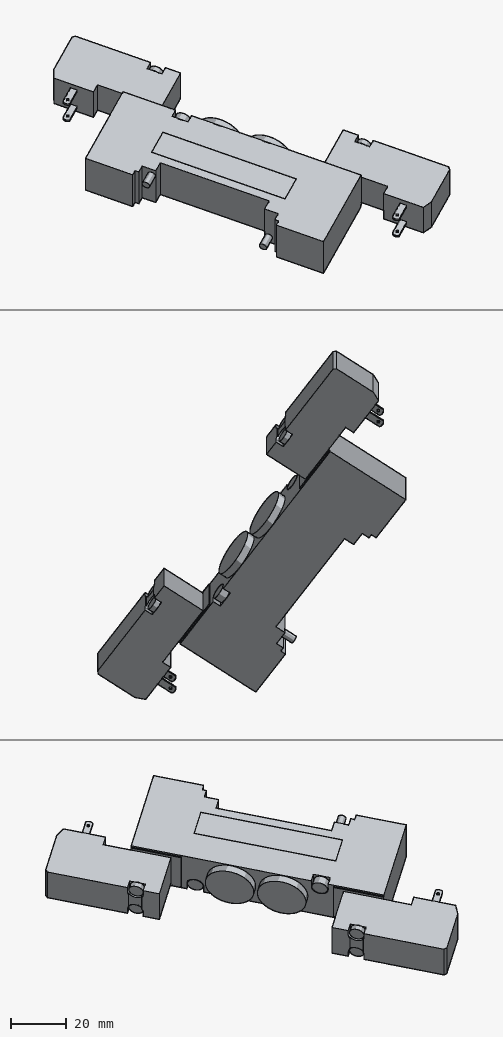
import cadquery as cq
import math


total_length = 148.2
total_depth = 50.7
back_y = total_depth / 2
front_y = -total_depth / 2

housing_length = 93.4
housing_height = 18.5
housing_depth = 33.2
housing_back_y = front_y + housing_depth

foot_inner_x = 28.2
ledge_inner_x = 26.7
shoulder_inner_x = 21.3
ledge_y = front_y + 2.1
shoulder_y = front_y + 5.0
arch_y = front_y + 9.0

pad_thickness = 0.5
pad_height = 17.0
pad_back_y = housing_back_y + pad_thickness

label_length = 52.3
label_width = 10.0
label_center_y = -8.2
label_depth = 0.1

housing_screw_x = 23.0
housing_screw_z = 6.1
housing_screw_head_diameter = 5.8
housing_slot_width = 6.2
housing_screw_head_height = 3.1
housing_screw_shank_diameter = 3.0

collar_diameter = 18.0
collar_height = 2.8
collar_x = 9.6

coil_height = 14.8
coil_inner_x = 31.9
coil_outer_x = total_length / 2
coil_foot_inner_x = 56.9
coil_foot_y = 4.7
coil_back_chamfer = 0.9
coil_front_chamfer_x = 1.6
coil_front_chamfer_y = 3.5

coil_screw_x = 40.8
coil_screw_head_diameter = 5.3
coil_screw_protrusion = 0.3
coil_screw_sink = 1.0
coil_slot_width = 5.8
coil_slot_depth = 3.1
coil_screw_z = coil_height / 2 + coil_screw_protrusion - coil_screw_head_diameter / 2

coil_groove_x = 40.9
coil_groove_width = 4.9
coil_groove_depth = 0.5

terminal_x = 64.6
terminal_z = 4.7
terminal_width = 2.7
terminal_thickness = 0.9
terminal_tip_diameter = 3.9
terminal_hole_diameter = 1.0
terminal_hole_y = -0.6


def cylinder_along_y(diameter, x, z, y_start, y_end):
    """Cylinder parallel to Y between two Y positions."""
    axis_start = cq.Vector(x, y_start, z)
    return cq.Workplane(
        cq.Solid.makeCylinder(diameter / 2, y_end - y_start, axis_start, cq.Vector(0, 1, 0))
    )


def block(x_range, y_range, z_range):
    """Box between two limits on each axis."""
    corner = cq.Vector(x_range[0], y_range[0], z_range[0])
    return cq.Workplane(
        cq.Solid.makeBox(
            x_range[1] - x_range[0], y_range[1] - y_range[0], z_range[1] - z_range[0], corner
        )
    )


def screw_slot(width, x, z, y_start, y_end, open_z):
    """Round-bottomed slot that runs from a screw axis out through the face at open_z."""
    round_bottom = cylinder_along_y(width, x, z, y_start, y_end)
    opening = block(
        (x - width / 2, x + width / 2), (y_start, y_end), (min(z, open_z), max(z, open_z))
    )
    return round_bottom.union(opening)


def housing_profile():
    """Housing block with a stepped arch between its two feet, extruded along Z."""
    half_length = housing_length / 2
    right_half = [
        (half_length, housing_back_y),
        (half_length, front_y),
        (foot_inner_x, front_y),
        (foot_inner_x, ledge_y),
        (ledge_inner_x, ledge_y),
        (ledge_inner_x, shoulder_y),
        (shoulder_inner_x, shoulder_y),
        (shoulder_inner_x, arch_y),
    ]
    left_half = [(-x, y) for x, y in reversed(right_half)]
    return (
        cq.Workplane("XY")
        .polyline(right_half + left_half)
        .close()
        .extrude(housing_height / 2, both=True)
    )


def add_coil_pads(body):
    """Thin raised pads on the back face that the coil blocks rest on."""
    half_height = pad_height / 2
    for x_range in ((-housing_length / 2, -foot_inner_x), (foot_inner_x, housing_length / 2)):
        body = body.union(
            block(x_range, (housing_back_y, pad_back_y), (-half_height, half_height))
        )
    return body


def add_housing_screw(body, side):
    """Mounting screw: head in an open slot at the back, shank end at the front."""
    x = side * housing_screw_x
    z = -side * housing_screw_z
    open_z = -side * housing_height / 2
    seat_y = housing_back_y - housing_screw_head_height
    slot = screw_slot(housing_slot_width, x, z, seat_y, housing_back_y, open_z)
    head = cylinder_along_y(housing_screw_head_diameter, x, z, seat_y, housing_back_y)
    shank = cylinder_along_y(housing_screw_shank_diameter, x, z, front_y, shoulder_y)
    return body.cut(slot).union(head).union(shank)


def make_housing():
    body = add_coil_pads(housing_profile())
    for side in (-1, 1):
        body = add_housing_screw(body, side)
    label = (
        cq.Workplane("XY", origin=(0, label_center_y, housing_height / 2))
        .rect(label_length, label_width)
        .extrude(-label_depth)
    )
    return body.cut(label)


def make_collar(side):
    """Round port collar standing on the back face of the housing."""
    collar_back_y = housing_back_y + collar_height
    return cylinder_along_y(collar_diameter, side * collar_x, 0, housing_back_y, collar_back_y)


def coil_profile():
    """Right-hand coil block with a foot at its outer end, extruded along Z."""
    outline = [
        (coil_inner_x, back_y),
        (coil_outer_x - coil_back_chamfer, back_y),
        (coil_outer_x, back_y - coil_back_chamfer),
        (coil_outer_x, coil_foot_y + coil_front_chamfer_y),
        (coil_outer_x - coil_front_chamfer_x, coil_foot_y),
        (coil_foot_inner_x, coil_foot_y),
        (coil_foot_inner_x, pad_back_y),
        (coil_inner_x, pad_back_y),
    ]
    return cq.Workplane("XY").polyline(outline).close().extrude(coil_height / 2, both=True)


def cut_coil_groove(body):
    """Shallow groove down the back face, from the top to the bottom."""
    half_width = coil_groove_width / 2
    half_height = coil_height / 2
    groove = block(
        (coil_groove_x - half_width, coil_groove_x + half_width),
        (back_y - coil_groove_depth, back_y),
        (-half_height, half_height),
    )
    return body.cut(groove)


def add_coil_screw(body, level):
    """Screw head sunk in a back-face slot that opens at the top (+1) or bottom (-1)."""
    z = level * coil_screw_z
    seat_y = back_y - coil_slot_depth
    open_z = level * coil_height / 2
    slot = screw_slot(coil_slot_width, coil_screw_x, z, seat_y, back_y, open_z)
    head_back_y = back_y - coil_screw_sink
    head = cylinder_along_y(coil_screw_head_diameter, coil_screw_x, z, seat_y, head_back_y)
    return body.cut(slot).union(head)


def add_terminal(body, level):
    """Flat terminal blade, drilled near its tip, with the tip arc centred on the hole."""
    half_width = terminal_width / 2
    tip_radius = terminal_tip_diameter / 2
    tip_y = terminal_hole_y - tip_radius
    tip_start_y = terminal_hole_y - math.sqrt(tip_radius**2 - half_width**2)
    blade = (
        cq.Workplane("XY", origin=(0, 0, level * terminal_z))
        .moveTo(terminal_x - half_width, coil_foot_y)
        .lineTo(terminal_x - half_width, tip_start_y)
        .threePointArc((terminal_x, tip_y), (terminal_x + half_width, tip_start_y))
        .lineTo(terminal_x + half_width, coil_foot_y)
        .close()
        .moveTo(terminal_x, terminal_hole_y)
        .circle(terminal_hole_diameter / 2)
        .extrude(terminal_thickness / 2, both=True)
    )
    return body.union(blade)


def make_right_coil():
    body = cut_coil_groove(coil_profile())
    for level in (-1, 1):
        body = add_coil_screw(body, level)
        body = add_terminal(body, level)
    return body


housing = make_housing()
collars = [make_collar(side) for side in (-1, 1)]
right_coil = make_right_coil()
left_coil = right_coil.mirror("YZ")

result = cq.Compound.makeCompound(
    [
        housing.val(),
        *[collar.val() for collar in collars],
        left_coil.val(),
        right_coil.val(),
    ]
)